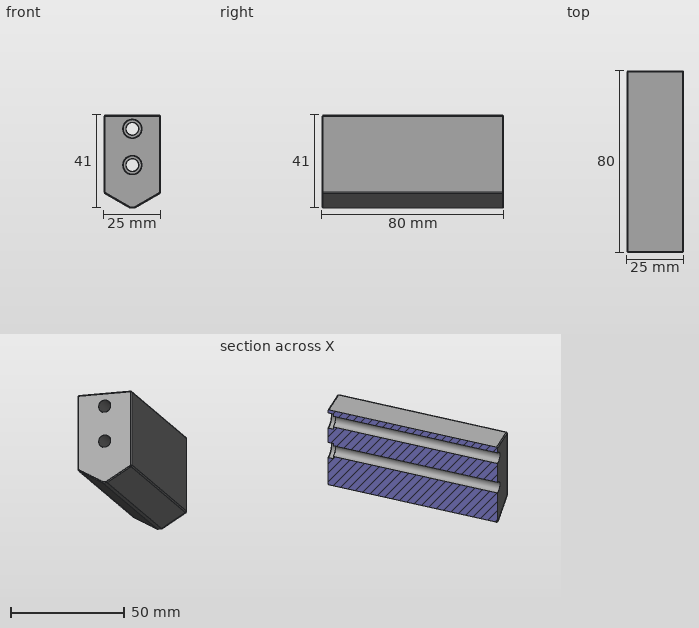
import cadquery as cq
import math

width = 25.0
length = 80.0
height = 41.0

slope_angle = math.radians(30)
ridge_width = 2.0
edge_chamfer = 0.5

hole_diameter = 5.5
counterbore_diameter = 8.0
counterbore_depth = 2.5
rim_chamfer = 0.2
first_hole_drop = 6.0
hole_spacing = 16.0
hole_count = 2

shoulder_z = (width - ridge_width) / 2 * math.tan(slope_angle)


def make_body():
    """Prism with a pointed underside and every outer edge broken."""
    profile = (
        cq.Workplane("XZ", origin=(0, length / 2, 0))
        .moveTo(-width / 2, height)
        .lineTo(-width / 2, shoulder_z)
        .lineTo(-ridge_width / 2, 0)
        .lineTo(ridge_width / 2, 0)
        .lineTo(width / 2, shoulder_z)
        .lineTo(width / 2, height)
        .close()
    )
    body = profile.extrude(length)
    end_edges = body.faces("<Y or >Y").edges()
    side_edges = body.faces("<X or >X").edges("|Y")
    return body.newObject(end_edges.vals() + side_edges.vals()).chamfer(edge_chamfer)


def make_hole_cutter(center_z):
    """Through hole with a counterbore and a chamfered rim on the -Y end."""
    bore_radius = hole_diameter / 2
    counterbore_radius = counterbore_diameter / 2
    front_y = -length / 2
    return (
        cq.Workplane("XY", origin=(0, 0, center_z))
        .moveTo(0, front_y)
        .lineTo(counterbore_radius + rim_chamfer, front_y)
        .lineTo(counterbore_radius, front_y + rim_chamfer)
        .lineTo(counterbore_radius, front_y + counterbore_depth)
        .lineTo(bore_radius, front_y + counterbore_depth)
        .lineTo(bore_radius, length / 2)
        .lineTo(0, length / 2)
        .close()
        .revolve(360, (0, 0, 0), (0, 1, 0))
    )


result = make_body()
for index in range(hole_count):
    hole_z = height - first_hole_drop - index * hole_spacing
    result = result.cut(make_hole_cutter(hole_z))